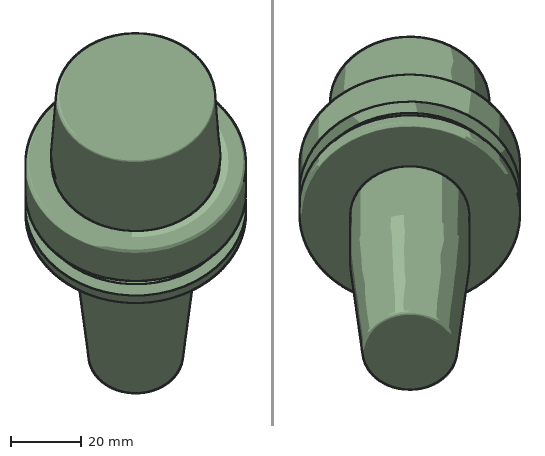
import cadquery as cq
import math


taper_length = 31.9
projection_length = 95.0

gauge_radius = 24.005
gauge_height = 6.3
taper_ratio = 1 / 9.98
taper_bottom = 2.8
taper_rim_radius = 1.0

neck_radius = 24.0
neck_top = 2.0
relief_radius = 26.5
relief_depth = 0.4

flange_radius = 31.5
flange_thickness = 26.0
rim_chamfer = 0.8
rim_blend_radius = 0.4
groove_center = 18.0
groove_width = 3.75
groove_radius = 27.5
groove_wall_radius = 28.7
groove_flank_angle = math.radians(30)

nose_radius = 17.0
nose_tip_radius = 13.5
nose_taper_angle = math.radians(4.5)
nose_edge_radius = 1.0


def taper_radius(height):
    """Radius of the short taper at a height above the contact face."""
    return gauge_radius - (height - gauge_height) * taper_ratio / 2


def revolved(profile_points):
    """Solid of revolution about Z from (radius, height) points starting and ending on the axis."""
    return cq.Workplane("XZ").polyline(profile_points).close().revolve(360, (0, 0), (0, 1))


def make_taper():
    """Short taper and neck, reaching down to the bottom of the face relief."""
    taper = revolved([
        (0, -relief_depth),
        (neck_radius, -relief_depth),
        (neck_radius, neck_top),
        (taper_radius(taper_bottom), taper_bottom),
        (taper_radius(taper_length), taper_length),
        (0, taper_length),
    ])
    return taper.edges(">Z").fillet(taper_rim_radius)


def make_flange():
    """Flange with a conical face relief, softened rim chamfers and the gripper groove."""
    groove_top = -groove_center + groove_width / 2
    groove_bottom = -groove_center - groove_width / 2
    flank_height = (flange_radius - groove_wall_radius) * math.tan(groove_flank_angle)
    flange = revolved([
        (0, -relief_depth),
        (neck_radius, -relief_depth),
        (relief_radius, 0),
        (flange_radius - rim_chamfer, 0),
        (flange_radius, -rim_chamfer),
        (flange_radius, groove_top + flank_height),
        (groove_wall_radius, groove_top),
        (groove_radius, groove_top),
        (groove_radius, groove_bottom),
        (groove_wall_radius, groove_bottom),
        (flange_radius, groove_bottom - flank_height),
        (flange_radius, -flange_thickness + rim_chamfer),
        (flange_radius - rim_chamfer, -flange_thickness),
        (0, -flange_thickness),
    ])
    outermost = cq.selectors.RadiusNthSelector(-1)
    for face_side in (">Z", "<Z"):
        face_edge = flange.edges(face_side).edges(outermost)
        wall_edge = flange.edges("%CIRCLE").edges(outermost).edges(face_side)
        flange = flange.newObject(face_edge.vals() + wall_edge.vals()).fillet(rim_blend_radius)
    return flange


def make_nose():
    """Cylindrical shank running into a slender cone with a rounded end."""
    cone_length = (nose_radius - nose_tip_radius) / math.tan(nose_taper_angle)
    nose = revolved([
        (0, -flange_thickness),
        (nose_radius, -flange_thickness),
        (nose_radius, -projection_length + cone_length),
        (nose_tip_radius, -projection_length),
        (0, -projection_length),
    ])
    return nose.edges("<Z").fillet(nose_edge_radius)


result = make_flange().union(make_taper()).union(make_nose())